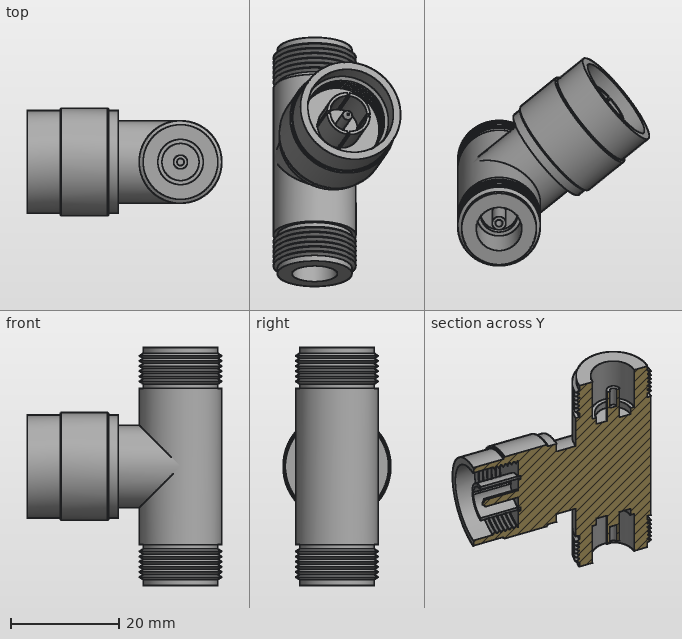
import cadquery as cq


total_height = 44.09
total_length = 36.06
body_radius = 7.66
arm_reach = total_length - body_radius

ring_count = 6
ring_pitch = 0.95
root_radius = 6.92
end_land = 1.08
relief_width = 0.80
thread_length = ring_count * ring_pitch
half_height = total_height / 2
body_half_height = half_height - end_land - thread_length - relief_width

socket_radius = 4.2
socket_depth = 9.0
inner_socket_radius = 3.44
inner_socket_depth = 10.5
contact_radius = 1.28
contact_recess = 3.55
contact_hole_radius = 0.66
contact_hole_depth = 4.0

nut_radius = 9.55
nut_length = 16.9
collar_radius = 10.0
collar_start = 6.1
collar_end = 15.1
collar_chamfer = 0.25

nut_bore_radius = 8.15
nut_bore_depth = 3.95
nut_crest_radius = 7.5
nut_ring_count = 6
nut_ring_pitch = 0.86
cavity_depth = nut_bore_depth + nut_ring_count * nut_ring_pitch

sleeve_radius = 4.1
sleeve_inner_radius = 3.48
sleeve_recess = 1.6
slot_count = 4
slot_width = 0.5
slot_inner_reach = 3.45
slot_outer_reach = 4.2
slot_floor_depth = 0.5
pin_radius = 0.9
pin_recess = 1.9
pin_tip_radius = 0.2
pin_tip_length = 0.6


def nut_cylinder(radius, start, end):
    """Cylinder on the arm axis between two depths from the nut's open face."""
    plane = cq.Workplane("YZ", origin=(start - arm_reach, 0, 0))
    return plane.circle(radius).extrude(end - start)


def threaded_tube():
    """Vertical tube with an external thread near both ends."""
    points = [(0, 0), (body_radius, 0), (body_radius, body_half_height), (root_radius, body_half_height)]
    first_ring = body_half_height + relief_width
    for ring in range(ring_count):
        ring_start = first_ring + ring * ring_pitch
        points.append((root_radius, ring_start))
        points.append((body_radius, ring_start + ring_pitch / 2))
    points.append((root_radius, first_ring + thread_length))
    points.append((root_radius, half_height))
    points.append((0, half_height))
    upper = cq.Workplane("XZ").polyline(points).close().revolve(360, (0, 0, 0), (0, 1, 0))
    return upper.union(upper.mirror("XY"))


def socket_cut():
    """Stepped bore of the upper socket, leaving its hollow centre contact standing."""
    face = cq.Workplane("XY", origin=(0, 0, half_height))
    contact_tip = face.workplane(offset=-contact_recess)
    bore = face.circle(socket_radius).extrude(-socket_depth)
    bore = bore.union(face.circle(inner_socket_radius).extrude(-inner_socket_depth))
    bore = bore.cut(contact_tip.circle(contact_radius).extrude(contact_recess - inner_socket_depth))
    return bore.union(contact_tip.circle(contact_hole_radius).extrude(-contact_hole_depth))


def coupling_nut():
    """Outside of the nut with its raised, chamfered collar."""
    collar = nut_cylinder(collar_radius, collar_start, collar_end).edges().chamfer(collar_chamfer)
    return nut_cylinder(nut_radius, 0, nut_length).union(collar)


def nut_cavity():
    """Plain bore followed by V-shaped internal thread rings."""
    points = [(-arm_reach, 0), (-arm_reach, nut_bore_radius)]
    for ring in range(nut_ring_count):
        ring_start = nut_bore_depth + ring * nut_ring_pitch - arm_reach
        points.append((ring_start, nut_bore_radius))
        points.append((ring_start + nut_ring_pitch / 2, nut_crest_radius))
    points.append((cavity_depth - arm_reach, nut_bore_radius))
    points.append((cavity_depth - arm_reach, 0))
    return cq.Workplane("XZ").polyline(points).close().revolve(360, (0, 0, 0), (1, 0, 0))


def sleeve():
    """Contact sleeve standing on the cavity floor."""
    outer = nut_cylinder(sleeve_radius, sleeve_recess, cavity_depth)
    return outer.cut(nut_cylinder(sleeve_inner_radius, sleeve_recess, cavity_depth))


def sleeve_slots():
    """Four slots that split the sleeve and run slightly into the cavity floor."""
    slot_middle = (slot_inner_reach + slot_outer_reach) / 2
    slot_height = slot_outer_reach - slot_inner_reach
    slot_length = cavity_depth + slot_floor_depth - sleeve_recess
    plane = cq.Workplane("YZ", origin=(sleeve_recess - arm_reach, 0, 0))
    slots = plane.polarArray(slot_middle, 0, 360, slot_count)
    return slots.rect(slot_height, slot_width).extrude(slot_length)


def centre_pin():
    """Pin with a blunt conical tip."""
    tip = pin_recess - arm_reach
    shoulder = tip + pin_tip_length
    root = cavity_depth - arm_reach
    points = [(tip, 0), (tip, pin_tip_radius), (shoulder, pin_radius), (root, pin_radius), (root, 0)]
    return cq.Workplane("XZ").polyline(points).close().revolve(360, (0, 0, 0), (1, 0, 0))


arm = nut_cylinder(body_radius, nut_length, arm_reach)
upper_socket = socket_cut()

result = threaded_tube().union(arm).union(coupling_nut()).cut(nut_cavity())
result = result.union(sleeve()).cut(sleeve_slots()).union(centre_pin())
result = result.cut(upper_socket).cut(upper_socket.mirror("XY"))